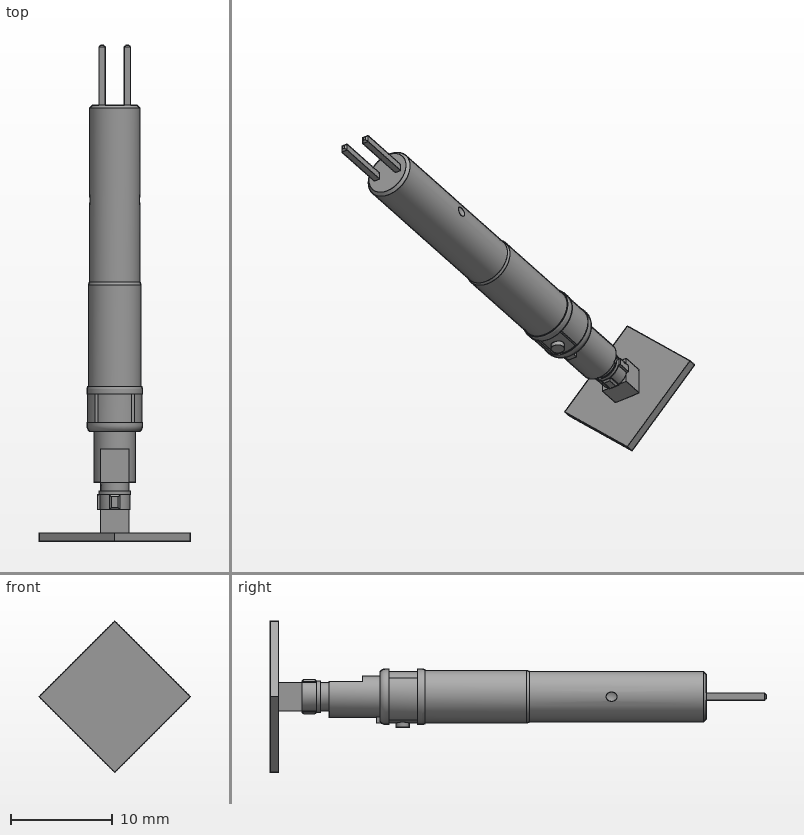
import cadquery as cq
import math

TOTAL_LENGTH = 48.7

PLATE_DIAGONAL = 14.85
PLATE_THICKNESS = 0.85
STEM_WIDTH = 2.82
CROWN_FRONT = 3.1
CROWN_LENGTH = 1.45
CROWN_RADIUS = 1.5
COLLAR_LENGTH = 0.4
COLLAR_RADIUS = 1.55
NECK_RADIUS = STEM_WIDTH / 2
TOOTH_REACH = 1.7
TOOTH_WIDTH = 1.05
TOOTH_CHAMFER = 0.2
SIDE_TOOTH_WIDTH = 0.75
KEYWAY_WIDTH = 0.65
KEYWAY_LENGTH = 0.6
KEYWAY_FLOOR = 1.25

SNOUT_FRONT = 5.8
FLAT_END = 9.05
HEAD_FRONT = 10.75
FRONT_RING_START = 11.35
GROOVE_START = 11.7
GROOVE_END = 14.45
REAR_RING_LIP = 14.95
HEAD_REAR = 15.2
SLEEVE_END = 25.2
BARREL_START = 25.45
BARREL_REAR = 42.8

SNOUT_RADIUS = 2.05
NOSE_RADIUS = 2.45
RING_RADIUS = 2.75
LIP_RADIUS = 2.7
PANEL_RADIUS = 2.7
SLEEVE_RADIUS = 2.6
BARREL_RADIUS = 2.5
BARREL_CHAMFER = 0.3

SNOUT_FLAT_HEIGHT = 1.5
TOP_RECESS_RADIUS = 2.5
TOP_SHELF_HEIGHT = 1.85
BOTTOM_RECESS_RADIUS = 2.6
BOTTOM_SHELF_DEPTH = 2.3
BUTTON_DIAMETER = 1.3
BUTTON_CENTER = 13.0
BUTTON_REACH = 3.0
TAB_WIDTH = 0.95
TAB_TOP = 1.95
TAB_BOTTOM = 2.6
TAB_LENGTH = 0.35
DIMPLE_DIAMETER = 1.05
DIMPLE_DEPTH = 0.15
DIMPLE_CENTER = 33.5

PIN_SPACING = 2.5
PIN_WIDTH = 0.65
PIN_HEIGHT = 0.75
PIN_TIP_CHAMFER = 0.2


def box(x_range, y_range, z_range):
    """Block spanning the given ranges along each axis."""
    size = [end - start for start, end in (x_range, y_range, z_range)]
    corner = (x_range[0], y_range[0], z_range[0])
    return cq.Workplane("XY").box(*size, centered=False).translate(corner)


def centered(width):
    """Range of the given width, symmetric about zero."""
    return (-width / 2, width / 2)


def disc(radius, start, end):
    """Cylinder on the long axis between two stations."""
    return cq.Workplane("XZ", origin=(0, start, 0)).circle(radius).extrude(start - end)


def make_recess(radius, z_range):
    """Cutter that lowers the head to a smaller radius over a band of heights."""
    stations = (GROOVE_START, GROOVE_END)
    band = box(centered(4 * RING_RADIUS), stations, z_range)
    return band.cut(disc(radius, *stations))


def make_dimple(side):
    """Shallow spherical cutter on the left (-1) or right (+1) of the barrel."""
    rim_radius = DIMPLE_DIAMETER / 2
    sphere_radius = (rim_radius**2 + DIMPLE_DEPTH**2) / (2 * DIMPLE_DEPTH)
    center_x = BARREL_RADIUS - DIMPLE_DEPTH + sphere_radius
    return cq.Workplane("XY").sphere(sphere_radius).translate((side * center_x, DIMPLE_CENTER, 0))


def make_housing():
    nose_length = FRONT_RING_START - HEAD_FRONT
    nose_drop = RING_RADIUS - NOSE_RADIUS
    nose_arc_radius = (nose_length**2 + nose_drop**2) / (2 * nose_drop)
    half_angle = math.asin(nose_length / nose_arc_radius) / 2
    nose_middle = (
        RING_RADIUS - nose_arc_radius * (1 - math.cos(half_angle)),
        FRONT_RING_START - nose_arc_radius * math.sin(half_angle),
    )

    profile = (
        cq.Workplane("XY")
        .moveTo(0, SNOUT_FRONT)
        .lineTo(SNOUT_RADIUS, SNOUT_FRONT)
        .lineTo(SNOUT_RADIUS, HEAD_FRONT)
        .lineTo(NOSE_RADIUS, HEAD_FRONT)
        .threePointArc(nose_middle, (RING_RADIUS, FRONT_RING_START))
        .lineTo(RING_RADIUS, GROOVE_START)
        .lineTo(PANEL_RADIUS, GROOVE_START)
        .lineTo(PANEL_RADIUS, GROOVE_END)
        .lineTo(RING_RADIUS, GROOVE_END)
        .lineTo(RING_RADIUS, REAR_RING_LIP)
        .lineTo(LIP_RADIUS, HEAD_REAR)
        .lineTo(SLEEVE_RADIUS, HEAD_REAR)
        .lineTo(SLEEVE_RADIUS, SLEEVE_END)
        .lineTo(BARREL_RADIUS, BARREL_START)
        .lineTo(BARREL_RADIUS, BARREL_REAR - BARREL_CHAMFER)
        .lineTo(BARREL_RADIUS - BARREL_CHAMFER, BARREL_REAR)
        .lineTo(0, BARREL_REAR)
        .close()
    )
    body = profile.revolve(360, (0, 0, 0), (0, 1, 0))

    flat_cutter = box(
        centered(2 * SNOUT_RADIUS), (SNOUT_FRONT, FLAT_END), (SNOUT_FLAT_HEIGHT, SNOUT_RADIUS)
    )
    body = body.cut(flat_cutter)

    body = body.cut(make_recess(TOP_RECESS_RADIUS, (TOP_SHELF_HEIGHT, RING_RADIUS)))
    body = body.cut(make_recess(BOTTOM_RECESS_RADIUS, (-RING_RADIUS, -BOTTOM_SHELF_DEPTH)))

    for side in (-1, 1):
        body = body.cut(make_dimple(side))

    button = (
        cq.Workplane("XY", origin=(0, BUTTON_CENTER, -BUTTON_REACH))
        .circle(BUTTON_DIAMETER / 2)
        .extrude(BUTTON_REACH)
    )
    tab = box(
        centered(TAB_WIDTH),
        (HEAD_FRONT - TAB_LENGTH, FRONT_RING_START),
        (-TAB_BOTTOM, -TAB_TOP),
    )
    return body.union(button).union(tab)


def make_tooth():
    """Chamfered crown tooth pointing up."""
    crown_rear = CROWN_FRONT + CROWN_LENGTH
    tooth = box(centered(TOOTH_WIDTH), (CROWN_FRONT, crown_rear), (0, TOOTH_REACH))
    return tooth.faces(">Z").edges().chamfer(TOOTH_CHAMFER)


def make_tip():
    plate_side = PLATE_DIAGONAL / math.sqrt(2)
    plate = (
        cq.Workplane("XZ")
        .rect(plate_side, plate_side)
        .extrude(-PLATE_THICKNESS)
        .rotate((0, 0, 0), (0, 1, 0), 45)
    )

    crown_rear = CROWN_FRONT + CROWN_LENGTH
    stem = box(centered(STEM_WIDTH), (PLATE_THICKNESS, CROWN_FRONT), centered(STEM_WIDTH))
    tip = plate.union(stem)
    tip = tip.union(disc(NECK_RADIUS, CROWN_FRONT, SNOUT_FRONT))
    tip = tip.union(disc(CROWN_RADIUS, CROWN_FRONT, crown_rear))
    tip = tip.union(disc(COLLAR_RADIUS, crown_rear, crown_rear + COLLAR_LENGTH))

    for angle in (0, 180):
        tip = tip.union(make_tooth().rotate((0, 0, 0), (0, 1, 0), angle))
    side_tooth = box((-TOOTH_REACH, 0), (CROWN_FRONT, crown_rear), centered(SIDE_TOOTH_WIDTH))
    tip = tip.union(side_tooth)

    keyway_start = crown_rear + COLLAR_LENGTH
    keyway = box(
        (-NECK_RADIUS, -KEYWAY_FLOOR),
        (keyway_start, keyway_start + KEYWAY_LENGTH),
        centered(KEYWAY_WIDTH),
    )
    return tip.cut(keyway)


def make_pin(x_center):
    """Rectangular terminal pin with a chamfered end, standing on the rear face."""
    pin = box(
        (x_center - PIN_WIDTH / 2, x_center + PIN_WIDTH / 2),
        (BARREL_REAR, TOTAL_LENGTH),
        centered(PIN_HEIGHT),
    )
    return pin.faces(">Y").edges().chamfer(PIN_TIP_CHAMFER)


housing = make_housing()
tip = make_tip()
pins = [make_pin(side * PIN_SPACING / 2) for side in (-1, 1)]

result = cq.Compound.makeCompound([housing.val(), tip.val(), *[pin.val() for pin in pins]])